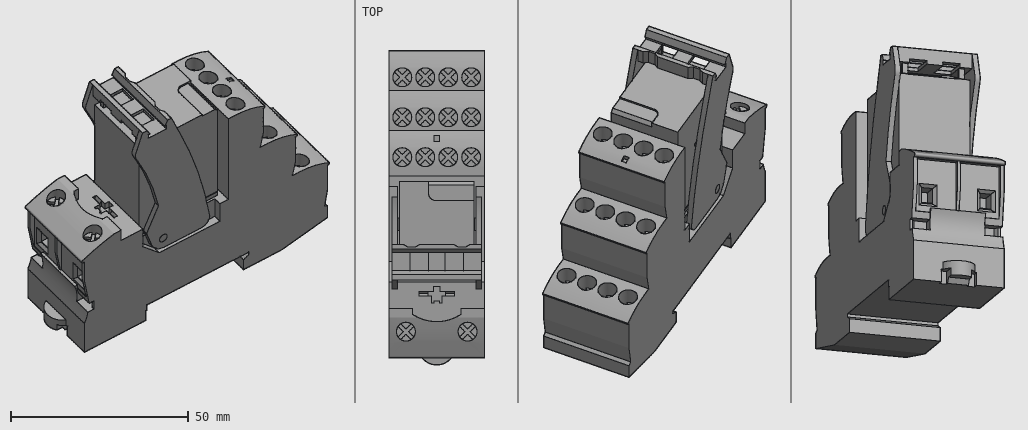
import cadquery as cq
import math


WIDTH = 27.0
HALF_WIDTH = WIDTH / 2
REAR_WALL_Y = 85.0
LIP = 0.6

TIER_COUNT = 3
TIER_PITCH_Y = 11.25
TIER_PITCH_Z = 18.0
TIER_TOP_Z = 27.5
TIER_CROWN_RUN = 9.6
TIER_CROWN_DROP = 2.5
TIER_LIP_Z = TIER_TOP_Z - TIER_CROWN_DROP
LIP_HEIGHT = 0.4
LIP_ROOT_DROP = 0.8
TIER_UNDERCUT = 1.1
TIER_UNDERCUT_HEIGHT = 5.1
TOP_TIER_FRONT_Y = 50.2

BAY_FLOOR_Z = 31.3
BAY_FRONT_Y = 20.4
DECK_Z = 37.1
BLOCK_REAR_Y = 12.85
BLOCK_TOP_Z = 41.2
BLOCK_CREST_Y = 10.4
BLOCK_CROWN_MID = (4.7, 39.3)
FRONT_LIP_TOP = (-0.6, 37.0)
FRONT_LIP_NOSE = (-1.0, 36.5)
FRONT_LIP_UNDER = (-0.5, 36.0)

WAIST_TOP_Z = 28.5
WAIST_Y = 1.7
NOTCH_TOP_Z = 18.5
NOTCH_BOTTOM_Z = 15.3
WAIST_FOOT_Z = 11.5
COVER_HALF_WIDTH = 8.15
COVER_TOP_Y = 0.5
COVER_TOP_Z = 21.6
WAIST_SAG_Y = 1.3
WAIST_SAG_Z = 17.1

RAIL_CEILING_Z = 5.9
RAIL_FRONT_Y = 21.4
RAIL_UPPER_FRONT_Y = 21.8
RAIL_STEP_Z = 3.8
RAIL_LIP_Y = 55.55
RAIL_GROOVE_Y = 57.5
RAIL_GROOVE_Z = 5.05
RAIL_LIP_Z = 4.0
BELLY_Y = 68.8
HEEL_Z = 3.45
HEEL_TOP_Z = 8.0
HEEL_GROOVE_Z = 8.6
HEEL_GROOVE_END_Z = 14.8

SCREW_HOLE_RADIUS = 2.7
SCREW_SLOT_WIDTH = 1.1
SCREW_SLOT_DEPTH = 0.9
REAR_SCREWS_PER_TIER = 4
REAR_SCREW_PITCH = 6.5
REAR_SCREW_INSET = 6.9
REAR_SCREW_DEPTH = 4.9
FRONT_SCREW_X = 8.7
FRONT_SCREW_Y = 6.4
FRONT_SCREW_FLOOR_Z = 37.6
SCREW_CLEARANCE = 8.9

INDICATOR_WIDTH = 1.5
INDICATOR_LENGTH = 1.7
INDICATOR_Y = 60.8
INDICATOR_FLOOR_Z = 61.1

RECESS_X = 11.1
RECESS_REAR_Y = 47.3
RECESS_FLOOR_Z = 24.3
RECESS_FRONT_Y = 26.1
RECESS_FRONT_Z = 30.1
PIVOT_Y = 28.2
PIVOT_Z = 28.3
PIVOT_RADIUS = 1.3

FINGER_HALF_WIDTH = 6.8
FINGER_EDGE_Y = 11.25
FINGER_TIP_Y = 9.2

CROSS_DEPTH = 2.2
CROSS_STEPS = [
    (1.0, 17.7, 19.1),
    (2.5, 16.5, 17.7),
    (1.5, 15.1, 16.5),
]
CROSS_CORNER_INNER_X = 0.8
CROSS_CORNER_OUTER_X = 1.5
CROSS_CORNER_FRONT_Y = 14.5
CROSS_ARM_HALF_LENGTH = 5.05
CROSS_ARM_FRONT_Y = 16.5
CROSS_ARM_REAR_Y = 17.7
CROSS_ARM_DEPTH = 0.9

PANEL_Y = 1.5
PANEL_HALF_WIDTH = 12.4
PANEL_TOP_Z = 35.9
PANEL_BOTTOM_Z = 20.55
PANEL_RIB = 0.9
ENTRY_X = 8.7
ENTRY_Z = 25.6
ENTRY_WIDTH = 5.4
ENTRY_HEIGHT = 6.4
ENTRY_TAPER_X = 1.1
ENTRY_TAPER_Z = 0.9
FUNNEL_DEPTH = 0.9
ENTRY_DEPTH = 5.3
ENTRY_SILL = 0.3

NOTCH_Y = 3.3
NOTCH_OUTER_X = 12.7
NOTCH_INNER_X = 12.0
NOTCH_DEEP_Y = 4.4

LATCH_HALF_WIDTH = 3.1
LATCH_SLOT_HALF_WIDTH = 5.2
LATCH_SLOT_TOP_Z = 3.7
LATCH_SLOT_DEPTH = 1.8
LATCH_BEVEL_HEIGHT = 1.6
LATCH_BEVEL_DEPTH = 0.9
KNOB_RADIUS = 5.3
KNOB_TIP_Y = -3.0
KNOB_TOP_Z = 5.85
HOOK_TIP_Y = 25.0
HOOK_TIP_Z = 4.8
HOOK_SHOULDER_Y = 23.4
HOOK_SHOULDER_Z = 5.1

RELAY_HALF_WIDTH = 10.5
RELAY_FRONT_Y = 21.2
RELAY_REAR_Y = 48.7
RELAY_TOP_Z = 66.8
RELAY_SEAM_Z = 32.9
RELAY_FOOT_INSET = 0.2
LEDGE_X = -2.3
LEDGE_FRONT_Y = 43.3
LEDGE_DEPTH = 0.5
LEDGE_RADIUS = 2.0
LEDGE_BEVEL = 1.0

CLIP_OUTER_X = 12.7
CLIP_INNER_X = RECESS_X
CLIP_TOP_Z = 74.5
CLIP_BOTTOM_Z = 24.45
ARM_NOSE_TOP = (18.8, 68.3)
ARM_NOSE = (18.4, 66.7)
ARM_NOSE_FOOT = (18.9, 65.1)
ARM_FRONT_MID = (22.9, 55.55)
ARM_WAIST = (26.5, 42.2)
ARM_KNEE = (22.3, 33.5)
ARM_SHIN = (24.4, 27.1)
ARM_TOE = (26.2, 25.0)
ARM_SOLE_FRONT_Y = 28.35
ARM_SOLE_REAR_Y = 41.55
ARM_HEEL = (43.5, 25.3)
ARM_REAR_FOOT = (44.4, 27.5)
ARM_REAR_MID = (39.3, 50.85)
ARM_REAR_TOP = (33.9, 66.8)
BRIDGE_BOTTOM_Z = 70.2
BRIDGE_FLOOR_Z = 71.2
BRIDGE_FRONT_Y = 20.9
BRIDGE_FRONT_TOP_Y = 22.5
BRIDGE_REAR_Y = 31.0
BRIDGE_REAR_TOP_Y = 29.7
CHANNEL_FRONT_Y = 22.95
CHANNEL_REAR_Y = 29.2
CATCH_FRONT_Y = 23.6
CATCH_REAR_Y = 28.7
CATCH_Z = 72.55
WINDOW_X = 5.0
WINDOW_WIDTH = 5.1
TAB_X = 8.4
TAB_WIDTH = 1.5
TAB_BOTTOM_Z = 67.2
TAB_FRONT_Y = 22.15
TAB_REAR_Y = 23.0
SCALLOP_X = 7.1
SCALLOP_DEPTH = 0.8
SCALLOP_FLOOR_WIDTH = 2.0
SCALLOP_MOUTH_WIDTH = 4.6
CLIP_RIB_INNER_X = 10.6
CLIP_RIB_FRONT_Y = 34.9
CLIP_RIB_REAR_Y = 38.4
CLIP_RIB_BOTTOM_Z = 52.7
CLIP_RIB_TOP_Z = 53.5


def box(x0, x1, y0, y1, z0, z1):
    """Axis-aligned block between two opposite corners."""
    return cq.Workplane("XY").box(x1 - x0, y1 - y0, z1 - z0, centered=False).translate((x0, y0, z0))


def slab(profile, x0, x1):
    """Closed YZ profile extruded from x0 to x1."""
    return profile.extrude(x1 - x0).translate((x0, 0, 0))


def tier_outline(path, index):
    """Continue the outline up the wall and over the crowned top of one rear tier."""
    wall_y = REAR_WALL_Y - index * TIER_PITCH_Y
    rise = index * TIER_PITCH_Z
    lip_y = wall_y + LIP
    lip_z = TIER_LIP_Z + rise
    top_z = TIER_TOP_Z + rise
    flat_y = wall_y - TIER_CROWN_RUN
    if index > 0:
        path = path.lineTo(wall_y - TIER_UNDERCUT, top_z - TIER_PITCH_Z)
        path = path.lineTo(wall_y, top_z - TIER_PITCH_Z + TIER_UNDERCUT_HEIGHT)
    path = path.lineTo(wall_y, lip_z - LIP_ROOT_DROP)
    path = path.lineTo(lip_y, lip_z - LIP_HEIGHT)
    path = path.lineTo(lip_y, lip_z)
    run = lip_y - flat_y
    radius = (run**2 + TIER_CROWN_DROP**2) / (2 * TIER_CROWN_DROP)
    middle_drop = radius - math.sqrt(radius**2 - (run / 2) ** 2)
    return path.threePointArc((flat_y + run / 2, top_z - middle_drop), (flat_y, top_z))


def waist_y(z):
    """Y of the concave arc of the front waist at height z, from its end points and deepest point."""
    start, middle, end = (
        cq.Vector(COVER_TOP_Y, COVER_TOP_Z), cq.Vector(WAIST_SAG_Y, WAIST_SAG_Z), cq.Vector(0, WAIST_FOOT_Z))
    arc = cq.Edge.makeThreePointArc(start, middle, end)
    centre = arc.arcCenter()
    return centre.x + math.sqrt(arc.radius() ** 2 - (z - centre.y) ** 2)


def base_shell():
    """Full-width side profile of the socket."""
    path = (
        cq.Workplane("YZ")
        .moveTo(0, 0)
        .lineTo(RAIL_FRONT_Y, 0)
        .lineTo(RAIL_FRONT_Y, RAIL_STEP_Z)
        .lineTo(RAIL_UPPER_FRONT_Y, RAIL_STEP_Z)
        .lineTo(RAIL_UPPER_FRONT_Y, RAIL_CEILING_Z)
        .lineTo(RAIL_GROOVE_Y, RAIL_CEILING_Z)
        .lineTo(RAIL_GROOVE_Y, RAIL_GROOVE_Z)
        .lineTo(RAIL_LIP_Y, RAIL_LIP_Z)
        .lineTo(RAIL_LIP_Y, 0)
        .lineTo(BELLY_Y, 0)
        .lineTo(REAR_WALL_Y, HEEL_Z)
        .lineTo(REAR_WALL_Y, HEEL_TOP_Z)
        .lineTo(REAR_WALL_Y - TIER_UNDERCUT, HEEL_GROOVE_Z)
        .lineTo(REAR_WALL_Y, HEEL_GROOVE_END_Z)
    )
    for index in range(TIER_COUNT):
        path = tier_outline(path, index)
    top_tier_z = TIER_TOP_Z + (TIER_COUNT - 1) * TIER_PITCH_Z
    arc_middle_z = (WAIST_FOOT_Z + NOTCH_BOTTOM_Z) / 2
    profile = (
        path.lineTo(TOP_TIER_FRONT_Y, top_tier_z)
        .lineTo(TOP_TIER_FRONT_Y, BAY_FLOOR_Z)
        .lineTo(BAY_FRONT_Y, BAY_FLOOR_Z)
        .lineTo(BAY_FRONT_Y, DECK_Z)
        .lineTo(BLOCK_REAR_Y, DECK_Z)
        .lineTo(BLOCK_REAR_Y, BLOCK_TOP_Z)
        .lineTo(BLOCK_CREST_Y, BLOCK_TOP_Z)
        .threePointArc(BLOCK_CROWN_MID, FRONT_LIP_TOP)
        .threePointArc(FRONT_LIP_NOSE, FRONT_LIP_UNDER)
        .lineTo(0, FRONT_LIP_UNDER[1])
        .lineTo(0, WAIST_TOP_Z)
        .lineTo(WAIST_Y, NOTCH_TOP_Z)
        .lineTo(waist_y(NOTCH_BOTTOM_Z), NOTCH_BOTTOM_Z)
        .threePointArc((waist_y(arc_middle_z), arc_middle_z), (0, WAIST_FOOT_Z))
        .close()
    )
    return slab(profile, -HALF_WIDTH, HALF_WIDTH)


def waist_cover():
    """Raised concave cover in the middle of the waist."""
    profile = (
        cq.Workplane("YZ")
        .moveTo(COVER_TOP_Y, COVER_TOP_Z)
        .threePointArc((WAIST_SAG_Y, WAIST_SAG_Z), (0, WAIST_FOOT_Z))
        .lineTo(NOTCH_DEEP_Y, WAIST_FOOT_Z)
        .lineTo(NOTCH_DEEP_Y, COVER_TOP_Z)
        .close()
    )
    return slab(profile, -COVER_HALF_WIDTH, COVER_HALF_WIDTH)


def screw_cutter(x, y, floor_z):
    """Round well down to a screw head, with a diagonal cross slot in the head."""
    well = cq.Workplane("XY", origin=(x, y, floor_z)).circle(SCREW_HOLE_RADIUS).extrude(SCREW_CLEARANCE)
    slots = (
        cq.Workplane("XY", origin=(x, y, floor_z))
        .rect(2 * SCREW_HOLE_RADIUS, SCREW_SLOT_WIDTH)
        .extrude(-SCREW_SLOT_DEPTH)
    )
    slots = slots.union(slots.rotate((x, y, 0), (x, y, 1), 90))
    slots = slots.rotate((x, y, 0), (x, y, 1), 45)
    disc = cq.Workplane("XY", origin=(x, y, floor_z)).circle(SCREW_HOLE_RADIUS).extrude(-SCREW_SLOT_DEPTH)
    return well.union(slots.intersect(disc))


def cut_screws(base):
    """Four screws on each rear tier and two on the front block."""
    for tier in range(TIER_COUNT):
        y = REAR_WALL_Y - tier * TIER_PITCH_Y - REAR_SCREW_INSET
        floor_z = TIER_TOP_Z + tier * TIER_PITCH_Z - REAR_SCREW_DEPTH
        for column in range(REAR_SCREWS_PER_TIER):
            x = (column - (REAR_SCREWS_PER_TIER - 1) / 2) * REAR_SCREW_PITCH
            base = base.cut(screw_cutter(x, y, floor_z))
    for x in (-FRONT_SCREW_X, FRONT_SCREW_X):
        base = base.cut(screw_cutter(x, FRONT_SCREW_Y, FRONT_SCREW_FLOOR_Z))
    return base


def indicator_pocket():
    """Small rectangular pocket in the top tier."""
    return (
        cq.Workplane("XY", origin=(0, INDICATOR_Y, INDICATOR_FLOOR_Z))
        .rect(INDICATOR_WIDTH, INDICATOR_LENGTH)
        .extrude(TIER_CROWN_DROP)
    )


def clip_recess():
    """Side recess, open at the top, in which one clip arm swings."""
    profile = cq.Workplane("YZ").polyline([
        (RECESS_REAR_Y, BAY_FLOOR_Z),
        (RECESS_REAR_Y, RECESS_FLOOR_Z),
        (RECESS_FRONT_Y, RECESS_FLOOR_Z),
        (BAY_FRONT_Y, RECESS_FRONT_Z),
        (BAY_FRONT_Y, BAY_FLOOR_Z),
    ]).close()
    return slab(profile, RECESS_X, HALF_WIDTH)


def pivot_pin():
    """Round pin on the recess wall, flush with the outside of the clip arm."""
    return slab(cq.Workplane("YZ").center(PIVOT_Y, PIVOT_Z).circle(PIVOT_RADIUS), RECESS_X, CLIP_OUTER_X)


def finger_cutout():
    """Arc-ended cut-out through the front block down to the deck."""
    return (
        cq.Workplane("XY", origin=(0, 0, DECK_Z))
        .moveTo(-FINGER_HALF_WIDTH, BLOCK_REAR_Y)
        .lineTo(-FINGER_HALF_WIDTH, FINGER_EDGE_Y)
        .threePointArc((0, FINGER_TIP_Y), (FINGER_HALF_WIDTH, FINGER_EDGE_Y))
        .lineTo(FINGER_HALF_WIDTH, BLOCK_REAR_Y)
        .close()
        .extrude(BLOCK_TOP_Z - DECK_Z)
    )


def cut_deck_cross(base):
    """Cross-shaped opening in the deck, with V-grooved side arms."""
    for half_width, front_y, rear_y in CROSS_STEPS:
        base = base.cut(box(-half_width, half_width, front_y, rear_y, DECK_Z - CROSS_DEPTH, DECK_Z))
    corner = box(
        CROSS_CORNER_INNER_X, CROSS_CORNER_OUTER_X,
        CROSS_CORNER_FRONT_Y, CROSS_ARM_FRONT_Y, DECK_Z - CROSS_DEPTH, DECK_Z)
    base = base.cut(corner).cut(corner.mirror("YZ"))
    groove = cq.Workplane("YZ").polyline([
        (CROSS_ARM_FRONT_Y, DECK_Z),
        (CROSS_ARM_REAR_Y, DECK_Z),
        ((CROSS_ARM_FRONT_Y + CROSS_ARM_REAR_Y) / 2, DECK_Z - CROSS_ARM_DEPTH),
    ]).close()
    return base.cut(slab(groove, -CROSS_ARM_HALF_LENGTH, CROSS_ARM_HALF_LENGTH))


def front_panel():
    """Recess for one of the two panels beside the centre rib."""
    return box(PANEL_RIB / 2, PANEL_HALF_WIDTH, 0, PANEL_Y, PANEL_BOTTOM_Z, PANEL_TOP_Z)


def wire_entry():
    """Funnel-shaped wire opening in one panel."""
    inner_width = ENTRY_WIDTH - 2 * ENTRY_TAPER_X
    inner_height = ENTRY_HEIGHT - 2 * ENTRY_TAPER_Z
    funnel = (
        cq.Workplane("XZ", origin=(ENTRY_X, PANEL_Y, ENTRY_Z))
        .rect(ENTRY_WIDTH, ENTRY_HEIGHT)
        .workplane(offset=-FUNNEL_DEPTH)
        .rect(inner_width, inner_height)
        .loft(combine=True)
    )
    shaft = (
        cq.Workplane("XZ", origin=(ENTRY_X, PANEL_Y, ENTRY_Z + ENTRY_SILL / 2))
        .rect(inner_width, inner_height - ENTRY_SILL)
        .extrude(-ENTRY_DEPTH)
    )
    return funnel.union(shaft)


def corner_notch():
    """Notch beside the waist cover, open to the side, with a deeper inner part."""
    return (
        cq.Workplane("XY", origin=(0, 0, NOTCH_BOTTOM_Z))
        .polyline([
            (COVER_HALF_WIDTH, 0),
            (HALF_WIDTH, 0),
            (HALF_WIDTH, NOTCH_Y),
            (NOTCH_OUTER_X, NOTCH_Y),
            (NOTCH_INNER_X, NOTCH_DEEP_Y),
            (COVER_HALF_WIDTH, NOTCH_DEEP_Y),
        ])
        .close()
        .extrude(NOTCH_TOP_Z - NOTCH_BOTTOM_Z)
    )


def cut_latch_slots(base):
    """Clearance beside the latch at the bottom of the front face, and the bevel under the latch."""
    side = box(LATCH_HALF_WIDTH, LATCH_SLOT_HALF_WIDTH, 0, LATCH_SLOT_DEPTH, 0, LATCH_SLOT_TOP_Z)
    bevel = cq.Workplane("YZ").polyline([(0, 0), (0, LATCH_BEVEL_HEIGHT), (LATCH_BEVEL_DEPTH, 0)]).close()
    base = base.cut(side).cut(side.mirror("YZ"))
    return base.cut(slab(bevel, -LATCH_HALF_WIDTH, LATCH_HALF_WIDTH))


def latch_knob():
    """Round pull knob, narrowed to the latch width below."""
    disc = (
        cq.Workplane("XY", origin=(0, KNOB_TIP_Y + KNOB_RADIUS, LATCH_BEVEL_HEIGHT))
        .circle(KNOB_RADIUS)
        .extrude(KNOB_TOP_Z - LATCH_BEVEL_HEIGHT)
    )
    upper = box(-KNOB_RADIUS, KNOB_RADIUS, KNOB_TIP_Y, 0, LATCH_SLOT_TOP_Z, KNOB_TOP_Z)
    lower = box(-LATCH_HALF_WIDTH, LATCH_HALF_WIDTH, KNOB_TIP_Y, 0, LATCH_BEVEL_HEIGHT, LATCH_SLOT_TOP_Z)
    return disc.intersect(upper.union(lower))


def latch_hook():
    """Sloped hook that reaches under the rail, with a wider guide block above it."""
    profile = cq.Workplane("YZ").polyline([
        (RAIL_FRONT_Y, 0),
        (HOOK_TIP_Y, HOOK_TIP_Z),
        (HOOK_SHOULDER_Y, HOOK_SHOULDER_Z),
        (HOOK_SHOULDER_Y, RAIL_CEILING_Z),
        (RAIL_FRONT_Y, RAIL_CEILING_Z),
    ]).close()
    guide = box(
        -LATCH_SLOT_HALF_WIDTH, LATCH_SLOT_HALF_WIDTH,
        RAIL_FRONT_Y, HOOK_SHOULDER_Y, RAIL_STEP_Z, RAIL_CEILING_Z)
    return slab(profile, -LATCH_HALF_WIDTH, LATCH_HALF_WIDTH).union(guide)


def make_base():
    """Socket base with its terminals, clip recesses and rail latch."""
    base = base_shell()
    for cutter in (front_panel(), wire_entry(), corner_notch(), clip_recess()):
        base = base.cut(cutter).cut(cutter.mirror("YZ"))
    base = base.union(waist_cover())
    base = base.union(pivot_pin()).union(pivot_pin().mirror("YZ"))
    base = cut_screws(base)
    base = base.cut(indicator_pocket())
    base = base.cut(finger_cutout())
    base = cut_deck_cross(base)
    base = cut_latch_slots(base)
    return base.union(latch_knob()).union(latch_hook())


def make_relay():
    """Plug-in relay: cap on a slightly narrower foot, with a lowered ledge at the rear of its top."""
    cap = box(-RELAY_HALF_WIDTH, RELAY_HALF_WIDTH, RELAY_FRONT_Y, RELAY_REAR_Y, RELAY_SEAM_Z, RELAY_TOP_Z)
    foot_half_width = RELAY_HALF_WIDTH - RELAY_FOOT_INSET
    foot = box(-foot_half_width, foot_half_width, RELAY_FRONT_Y, RELAY_REAR_Y, BAY_FLOOR_Z, RELAY_SEAM_Z)
    ledge_z = RELAY_TOP_Z - LEDGE_DEPTH
    corner = LEDGE_RADIUS * (1 - math.sqrt(0.5))
    ledge = (
        cq.Workplane("XY", origin=(0, 0, ledge_z))
        .moveTo(LEDGE_X, RELAY_REAR_Y)
        .lineTo(LEDGE_X, LEDGE_FRONT_Y + LEDGE_RADIUS)
        .threePointArc((LEDGE_X + corner, LEDGE_FRONT_Y + corner), (LEDGE_X + LEDGE_RADIUS, LEDGE_FRONT_Y))
        .lineTo(RELAY_HALF_WIDTH, LEDGE_FRONT_Y)
        .lineTo(RELAY_HALF_WIDTH, RELAY_REAR_Y)
        .close()
        .extrude(LEDGE_DEPTH)
    )
    bevel = cq.Workplane("YZ").polyline([
        (RELAY_REAR_Y - LEDGE_BEVEL, ledge_z),
        (RELAY_REAR_Y, ledge_z),
        (RELAY_REAR_Y, ledge_z - LEDGE_BEVEL),
    ]).close()
    return cap.union(foot).cut(ledge).cut(slab(bevel, LEDGE_X, RELAY_HALF_WIDTH))


def channel_outline(path):
    """Continue a profile from the rear rail down through the label channel and up to the front rail."""
    return (
        path.lineTo(BRIDGE_REAR_TOP_Y, CLIP_TOP_Z)
        .lineTo(CATCH_REAR_Y, CATCH_Z)
        .lineTo(CHANNEL_REAR_Y, CATCH_Z)
        .lineTo(CHANNEL_REAR_Y, BRIDGE_FLOOR_Z)
        .lineTo(CHANNEL_FRONT_Y, BRIDGE_FLOOR_Z)
        .lineTo(CHANNEL_FRONT_Y, CATCH_Z)
        .lineTo(CATCH_FRONT_Y, CATCH_Z)
        .lineTo(BRIDGE_FRONT_TOP_Y, CLIP_TOP_Z)
        .lineTo(BRIDGE_FRONT_Y, CLIP_TOP_Z)
    )


def clip_arm():
    """Curved side arm with the pivot hole."""
    path = channel_outline(cq.Workplane("YZ").moveTo(BRIDGE_REAR_Y, CLIP_TOP_Z))
    profile = (
        path.lineTo(*ARM_NOSE_TOP)
        .threePointArc(ARM_NOSE, ARM_NOSE_FOOT)
        .threePointArc(ARM_FRONT_MID, ARM_WAIST)
        .lineTo(*ARM_KNEE)
        .lineTo(*ARM_SHIN)
        .lineTo(*ARM_TOE)
        .lineTo(ARM_SOLE_FRONT_Y, CLIP_BOTTOM_Z)
        .lineTo(ARM_SOLE_REAR_Y, CLIP_BOTTOM_Z)
        .threePointArc(ARM_HEEL, ARM_REAR_FOOT)
        .threePointArc(ARM_REAR_MID, ARM_REAR_TOP)
        .close()
    )
    hole = slab(cq.Workplane("YZ").center(PIVOT_Y, PIVOT_Z).circle(PIVOT_RADIUS), CLIP_INNER_X, CLIP_OUTER_X)
    return slab(profile, CLIP_INNER_X, CLIP_OUTER_X).cut(hole)


def scallop():
    """Trapezoidal cutter for one hollow in the rear of the bridge."""
    return (
        cq.Workplane("XY", origin=(SCALLOP_X, BRIDGE_REAR_Y, BRIDGE_BOTTOM_Z))
        .polyline([
            (-SCALLOP_MOUTH_WIDTH / 2, 0),
            (-SCALLOP_FLOOR_WIDTH / 2, -SCALLOP_DEPTH),
            (SCALLOP_FLOOR_WIDTH / 2, -SCALLOP_DEPTH),
            (SCALLOP_MOUTH_WIDTH / 2, 0),
        ])
        .close()
        .extrude(CLIP_TOP_Z - BRIDGE_BOTTOM_Z)
    )


def clip_bridge():
    """Channel-shaped bridge that joins the arms, with windows, hollows and stop tabs."""
    path = channel_outline(cq.Workplane("YZ").moveTo(BRIDGE_REAR_Y, CLIP_TOP_Z))
    profile = path.lineTo(BRIDGE_FRONT_Y, BRIDGE_BOTTOM_Z).lineTo(BRIDGE_REAR_Y, BRIDGE_BOTTOM_Z).close()
    bridge = slab(profile, -CLIP_INNER_X, CLIP_INNER_X)
    window = box(
        WINDOW_X - WINDOW_WIDTH / 2, WINDOW_X + WINDOW_WIDTH / 2,
        BRIDGE_FRONT_Y, CATCH_REAR_Y, BRIDGE_BOTTOM_Z, BRIDGE_FLOOR_Z)
    tab = box(
        TAB_X - TAB_WIDTH / 2, TAB_X + TAB_WIDTH / 2,
        TAB_FRONT_Y, TAB_REAR_Y, TAB_BOTTOM_Z, BRIDGE_BOTTOM_Z)
    for cutter in (window, scallop()):
        bridge = bridge.cut(cutter).cut(cutter.mirror("YZ"))
    return bridge.union(tab).union(tab.mirror("YZ"))


def make_clip():
    """Retaining clip: two arms with inner ribs, joined by the bridge."""
    rib = box(
        CLIP_RIB_INNER_X, CLIP_INNER_X, CLIP_RIB_FRONT_Y, CLIP_RIB_REAR_Y, CLIP_RIB_BOTTOM_Z, CLIP_RIB_TOP_Z)
    arm = clip_arm().union(rib)
    return clip_bridge().union(arm).union(arm.mirror("YZ"))


base = make_base()
relay = make_relay()
clip = make_clip()

result = cq.Compound.makeCompound([base.solids().val(), relay.solids().val(), clip.solids().val()])